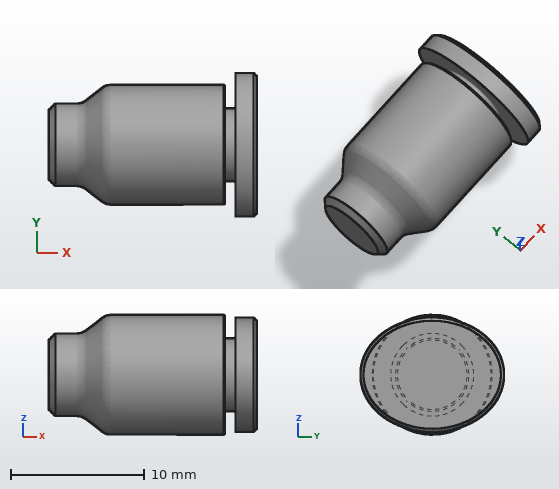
import cadquery as cq

CONE_START = 2.5
CONE_END = 4.3
BODY_END = 13.2
FLANGE_START = 14.0
TOTAL_LENGTH = 15.6

NOSE_DIAMETER = 6.21
BODY_DIAMETER = 9.0
NECK_DIAMETER = 5.49
FLANGE_WIDTH = 10.8
FLANGE_HEIGHT = 8.6

NOSE_CHAMFER = 0.5
CONE_BLEND_RADIUS = 1.0
BODY_CHAMFER = 0.1
FLANGE_CHAMFER = 0.25
NECK_FILLET = 0.1


def make_body():
    """Nose, cone and main barrel turned about X, with both cone ends blended."""
    nose_radius = NOSE_DIAMETER / 2
    body_radius = BODY_DIAMETER / 2
    profile = (
        cq.Workplane("XY")
        .polyline([
            (0, 0),
            (0, nose_radius),
            (CONE_START, nose_radius),
            (CONE_END, body_radius),
            (BODY_END, body_radius),
            (BODY_END, 0),
        ])
        .close()
    )
    body = profile.revolve(360, (0, 0, 0), (1, 0, 0))
    body = body.faces("<X").edges().chamfer(NOSE_CHAMFER)
    body = body.faces(">X").edges().chamfer(BODY_CHAMFER)

    cone_middle = ((CONE_START + CONE_END) / 2, 0, 0)
    cone = body.faces(cq.selectors.NearestToPointSelector(cone_middle))
    return cone.edges("%CIRCLE").fillet(CONE_BLEND_RADIUS)


def make_flange():
    """Elliptical end flange with its outer rim chamfered."""
    flange = (
        cq.Workplane("YZ", origin=(FLANGE_START, 0, 0))
        .ellipse(FLANGE_WIDTH / 2, FLANGE_HEIGHT / 2)
        .extrude(TOTAL_LENGTH - FLANGE_START)
    )
    return flange.faces(">X").edges().chamfer(FLANGE_CHAMFER)


def make_neck_and_flange():
    """Narrow neck joined to the flange through a small fillet."""
    neck = (
        cq.Workplane("YZ", origin=(BODY_END, 0, 0))
        .circle(NECK_DIAMETER / 2)
        .extrude(FLANGE_START - BODY_END)
    )
    joined = neck.union(make_flange())
    return joined.edges("%CIRCLE").edges(">X").fillet(NECK_FILLET)


result = make_body().union(make_neck_and_flange())